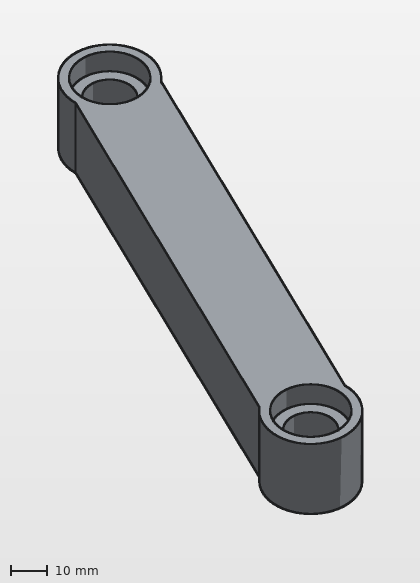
import cadquery as cq

hole_spacing = 150.0
height = 25.0
bar_width = 25.0
bearing_diameter = 22.1
boss_wall = 3.0
boss_diameter = bearing_diameter + 2 * boss_wall
through_diameter = 15.1
bearing_depth = 7.0

boss_centers = [(-hole_spacing / 2, 0), (hole_spacing / 2, 0)]


def make_bar():
    """Straight bar running from one boss axis to the other."""
    return cq.Workplane("XY").rect(hole_spacing, bar_width).extrude(height)


def make_bosses():
    """Round bosses, slightly wider than the bar, one at each end."""
    return cq.Workplane("XY").pushPoints(boss_centers).circle(boss_diameter / 2).extrude(height)


def cut_bearing_seats(body):
    """Through hole with a bearing counterbore from the top of each boss."""
    return (
        body.faces(">Z")
        .workplane(origin=(0, 0, height))
        .pushPoints(boss_centers)
        .cboreHole(through_diameter, bearing_diameter, bearing_depth)
    )


result = cut_bearing_seats(make_bar().union(make_bosses()))